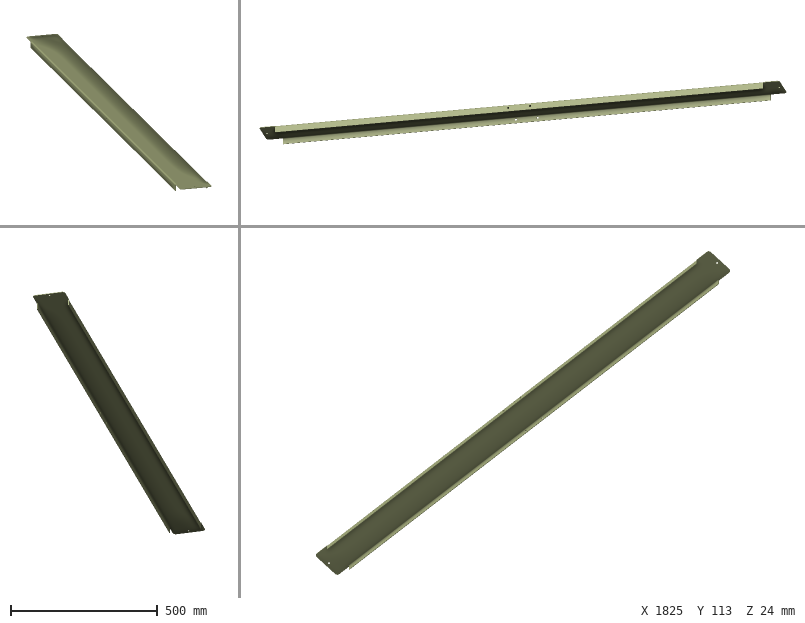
import cadquery as cq

length = 1825.0
width = 113.0
height = 24.0

sheet = 2.0
bend_radius = 5.0
tab_length = 57.0
tab_corner_radius = 10.0
flange_length = length - 2 * tab_length

end_hole_diameter = 7.0
end_hole_inset = 13.7
side_hole_diameter = 7.0
side_hole_spacing = 77.0
side_hole_drop = 11.0


def channel():
    """Downward-opening channel with rounded bends, centred on X and Y, top face at Z = 0."""
    outer = (
        cq.Workplane("XY")
        .box(flange_length, width, height, centered=(True, True, False))
        .translate((0, 0, -height))
        .edges("|X and >Z")
        .fillet(bend_radius)
    )
    inner = (
        cq.Workplane("XY")
        .box(flange_length, width - 2 * sheet, height, centered=(True, True, False))
        .translate((0, 0, -height - sheet))
        .edges("|X and >Z")
        .fillet(bend_radius - sheet)
    )
    return outer.cut(inner)


def end_tab(side):
    """Flat full-width tab beyond the flanges; side is -1 or +1 along X."""
    return (
        cq.Workplane("XY")
        .box(tab_length, width, sheet)
        .translate((side * (length - tab_length) / 2, 0, -sheet / 2))
        .edges("|Z and " + (">X" if side > 0 else "<X"))
        .fillet(tab_corner_radius)
    )


def end_holes():
    """Vertical hole near each end of the strip."""
    hole_x = length / 2 - end_hole_inset
    return (
        cq.Workplane("XY")
        .pushPoints([(-hole_x, 0), (hole_x, 0)])
        .circle(end_hole_diameter / 2)
        .extrude(-height)
    )


def side_holes():
    """Pair of holes about mid-length, passing through both flanges."""
    hole_x = side_hole_spacing / 2
    return (
        cq.Workplane("XZ")
        .pushPoints([(-hole_x, -side_hole_drop), (hole_x, -side_hole_drop)])
        .circle(side_hole_diameter / 2)
        .extrude(width, both=True)
    )


result = channel()
for side in (-1, 1):
    result = result.union(end_tab(side))
result = result.cut(end_holes()).cut(side_holes())